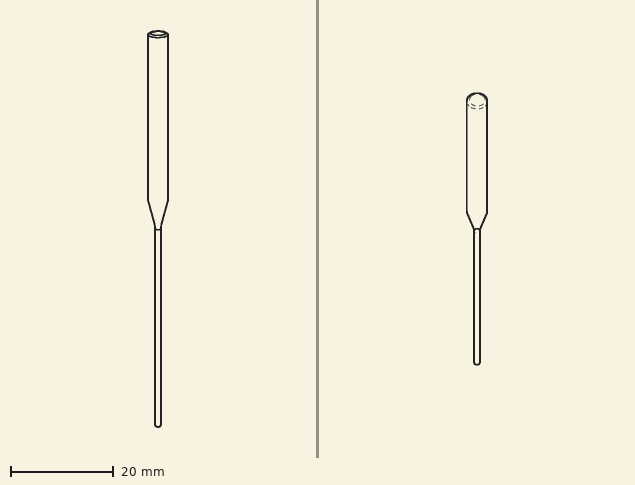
import cadquery as cq
import math

total_length = 80.0
cutter_length = 40.2
fillet_length = 1.4
shank_length = 33.8

shank_radius = 2.0
cutter_radius = 0.6

chamfer_width = 0.5
chamfer_height = 0.3

cone_start = total_length - shank_length
cone_end = cutter_length + fillet_length
cone_end_radius = 0.8

fillet_rise = cone_end_radius - cutter_radius
fillet_radius = (fillet_length**2 + fillet_rise**2) / (2 * fillet_rise)
half_turn = math.asin(fillet_length / fillet_radius) / 2
fillet_middle = (
    cutter_radius + fillet_radius * (1 - math.cos(half_turn)),
    cutter_length + fillet_radius * math.sin(half_turn),
)


def make_cutter():
    """Straight cutter with a full ball end."""
    diagonal = cutter_radius * math.sqrt(0.5)
    return (
        cq.Workplane("XZ")
        .moveTo(0, 0)
        .threePointArc((diagonal, cutter_radius - diagonal), (cutter_radius, cutter_radius))
        .lineTo(cutter_radius, cutter_length)
        .lineTo(0, cutter_length)
        .close()
        .revolve(360, (0, 0), (0, 1))
    )


def make_shank():
    """Chamfered shank that tapers through a cone and a fillet to the cutter."""
    return (
        cq.Workplane("XZ")
        .moveTo(0, cutter_length)
        .lineTo(cutter_radius, cutter_length)
        .threePointArc(fillet_middle, (cone_end_radius, cone_end))
        .lineTo(shank_radius, cone_start)
        .lineTo(shank_radius, total_length - chamfer_height)
        .lineTo(shank_radius - chamfer_width, total_length)
        .lineTo(0, total_length)
        .close()
        .revolve(360, (0, 0), (0, 1))
    )


cutter = make_cutter()
shank = make_shank()
result = cq.Compound.makeCompound([cutter.val(), shank.val()])